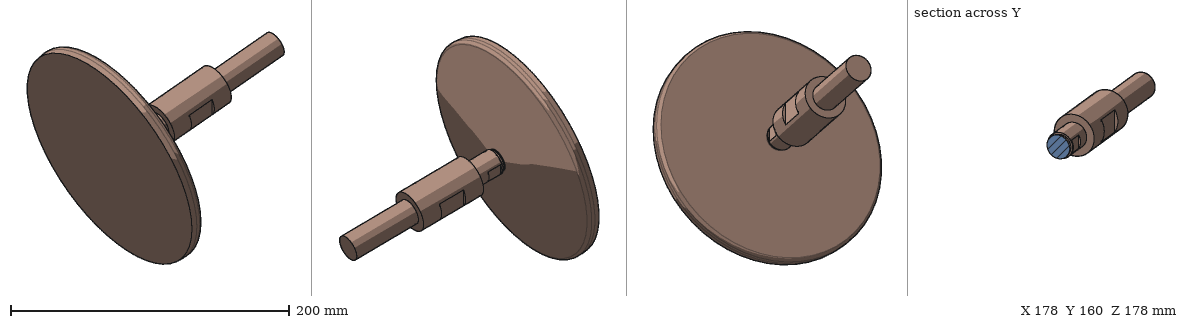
import cadquery as cq
import math


FOOT_RADIUS = 89.0
UNDERSIDE_RADIUS = 88.5
TAPER_HEIGHT = 4.3
RIM_HEIGHT = 7.1
RIM_ROUND = 2.7
CONE_TOP_RADIUS = 9.0
CONE_TOP_Y = 22.8

SPINDLE_RADIUS = 20.0 / 2
SPINDLE_BOTTOM_Y = 25.6
SPINDLE_TOP_Y = 160.0
NECK_RADIUS = 8.5
NECK_WAIST_RADIUS = 7.8
NECK_LIP_HEIGHT = 0.9
SPINDLE_FLATS_WIDTH = 17.0
SPINDLE_FLATS_LENGTH = 11.5
SPINDLE_FLATS_Y = 26.9

SLEEVE_RADIUS = 32.0 / 2
SLEEVE_BOTTOM_Y = 48.5
SLEEVE_LENGTH = 55.0
SLEEVE_FLATS_WIDTH = 27.0
SLEEVE_FLATS_LENGTH = 22.0
SLEEVE_FLATS_Y = SLEEVE_BOTTOM_Y + (SLEEVE_LENGTH - SLEEVE_FLATS_LENGTH) / 2


def turn(profile):
    """Revolve a closed half profile, drawn in XY, about the Y axis."""
    return profile.close().revolve(360, (0, 0, 0), (0, 1, 0))


def cylinder(radius, bottom_y, length):
    """Solid cylinder along Y."""
    return turn(cq.Workplane("XY").moveTo(0, bottom_y).hLine(radius).vLine(length).hLine(-radius))


def cut_wrench_flats(body, body_radius, width, bottom_y, length):
    """Cut two parallel flats, facing -X and +X, that leave the given width."""
    depth = body_radius - width / 2
    for side in (-1, 1):
        cutter = cq.Workplane("XY").box(2 * depth, length, 2 * body_radius).translate(
            (side * (width / 2 + depth), bottom_y + length / 2, 0)
        )
        body = body.cut(cutter)
    return body


def make_foot():
    """Shallow cone on a rim that is rounded above and tapered below."""
    center_x = FOOT_RADIUS - RIM_ROUND
    run = center_x - CONE_TOP_RADIUS
    rise = CONE_TOP_Y - RIM_HEIGHT
    tangent_angle = math.atan2(rise, -run) - math.acos(RIM_ROUND / math.hypot(run, rise))

    def rim_point(angle):
        return (center_x + RIM_ROUND * math.cos(angle), RIM_HEIGHT + RIM_ROUND * math.sin(angle))

    return turn(
        cq.Workplane("XY")
        .lineTo(UNDERSIDE_RADIUS, 0)
        .lineTo(FOOT_RADIUS, TAPER_HEIGHT)
        .lineTo(FOOT_RADIUS, RIM_HEIGHT)
        .threePointArc(rim_point(tangent_angle / 2), rim_point(tangent_angle))
        .lineTo(CONE_TOP_RADIUS, CONE_TOP_Y)
        .lineTo(0, CONE_TOP_Y)
    )


def make_spindle():
    """Round rod on a narrower waisted neck that stands on the foot, with flats at its lower end."""
    rod = cylinder(SPINDLE_RADIUS, SPINDLE_BOTTOM_Y, SPINDLE_TOP_Y - SPINDLE_BOTTOM_Y)
    lip_top_y = CONE_TOP_Y + NECK_LIP_HEIGHT
    neck = turn(
        cq.Workplane("XY")
        .moveTo(0, CONE_TOP_Y)
        .lineTo(NECK_RADIUS, CONE_TOP_Y)
        .lineTo(NECK_RADIUS, lip_top_y)
        .threePointArc(
            (NECK_WAIST_RADIUS, (lip_top_y + SPINDLE_BOTTOM_Y) / 2), (NECK_RADIUS, SPINDLE_BOTTOM_Y)
        )
        .lineTo(0, SPINDLE_BOTTOM_Y)
    )
    return cut_wrench_flats(
        rod.union(neck),
        SPINDLE_RADIUS, SPINDLE_FLATS_WIDTH, SPINDLE_FLATS_Y, SPINDLE_FLATS_LENGTH,
    )


def make_sleeve():
    """Round sleeve bored to fit the spindle, with flats at mid length."""
    body = cylinder(SLEEVE_RADIUS, SLEEVE_BOTTOM_Y, SLEEVE_LENGTH)
    bore = cylinder(SPINDLE_RADIUS, SLEEVE_BOTTOM_Y, SLEEVE_LENGTH)
    return cut_wrench_flats(
        body.cut(bore),
        SLEEVE_RADIUS, SLEEVE_FLATS_WIDTH, SLEEVE_FLATS_Y, SLEEVE_FLATS_LENGTH,
    )


foot = make_foot()
spindle = make_spindle()
sleeve = make_sleeve()

result = cq.Compound.makeCompound([foot.val(), spindle.val(), sleeve.val()])